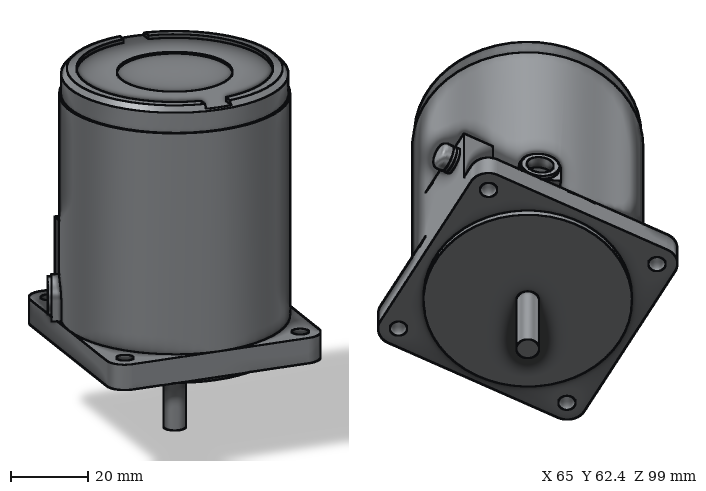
import cadquery as cq
import math

FLANGE_SIDE = 60.0
FLANGE_THICKNESS = 7.0
FLANGE_CORNER_RADIUS = 5.0
BOLT_PITCH = 49.5
BOLT_HOLE_DIAMETER = 4.5

PILOT_DIAMETER = 54.1
PILOT_HEIGHT = 2.0
SHAFT_DIAMETER = 5.9
SHAFT_LENGTH = 22.0

CASE_DIAMETER = FLANGE_SIDE
CASE_HEIGHT = 61.0
COVER_DIAMETER = 59.0
COVER_HEIGHT = 7.0
COVER_CHAMFER = 1.5
COVER_RECESS_DIAMETER = 51.0
COVER_RECESS_DEPTH = 1.0
KEY_SLOT_WIDTH = 7.0
LABEL_DIAMETER = 30.0
LABEL_DEPTH = 0.5

BLOCK_DEPTH = 21.0
BLOCK_HEIGHT = 20.0

PLUG_DIAMETER = 7.0
PLUG_LENGTH = 5.0
PLUG_SHOULDER = 4.4
PLUG_FILLET = 1.5
PLUG_Y = -15.4
PLUG_ABOVE_FLANGE = 14.5
PLUG_GROOVE_START = 0.9
PLUG_GROOVE_END = 1.9
PLUG_GROOVE_DEPTH = 0.1

OUTLET_ANGLE = 22.5
OUTLET_WIDTH = 11.0
OUTLET_ABOVE_FLANGE = 5.4
OUTLET_GAP = 0.3
OUTLET_REACH = 32.0
COLLAR_DIAMETER = 10.0
COLLAR_LENGTH = 1.0
OUTLET_BORE_DIAMETER = 7.0
OUTLET_BORE_DEPTH = 3.3

CASE_TOP = FLANGE_THICKNESS + CASE_HEIGHT
COVER_TOP = CASE_TOP + COVER_HEIGHT


def disc(diameter, bottom, height):
    """Upright cylinder on the case axis."""
    return cq.Workplane("XY").workplane(offset=bottom).circle(diameter / 2).extrude(height)


def make_flange():
    return (
        cq.Workplane("XY")
        .rect(FLANGE_SIDE, FLANGE_SIDE)
        .extrude(FLANGE_THICKNESS)
        .edges("|Z")
        .fillet(FLANGE_CORNER_RADIUS)
        .faces(">Z")
        .workplane()
        .rect(BOLT_PITCH, BOLT_PITCH, forConstruction=True)
        .vertices()
        .hole(BOLT_HOLE_DIAMETER)
    )


def make_cover():
    cover = disc(COVER_DIAMETER, CASE_TOP, COVER_HEIGHT).faces(">Z").edges().chamfer(COVER_CHAMFER)
    floor = COVER_TOP - COVER_RECESS_DEPTH
    recess = disc(COVER_RECESS_DIAMETER, floor, COVER_RECESS_DEPTH)
    key_slot = (
        cq.Workplane("XY")
        .workplane(offset=floor)
        .rect(COVER_DIAMETER, KEY_SLOT_WIDTH)
        .extrude(COVER_RECESS_DEPTH)
    )
    label = disc(LABEL_DIAMETER, floor - LABEL_DEPTH, LABEL_DEPTH)
    return cover.cut(recess).cut(key_slot).cut(label)


def make_connector_block():
    block = cq.Workplane("XY").box(FLANGE_SIDE / 2, BLOCK_DEPTH, BLOCK_HEIGHT, centered=False)
    return block.translate((-FLANGE_SIDE / 2, -BLOCK_DEPTH, FLANGE_THICKNESS))


def make_plug():
    """Domed plug pointing along -X, with a shallow groove around it."""
    radius = PLUG_DIAMETER / 2
    groove_radius = radius - PLUG_GROOVE_DEPTH
    dome_rise = PLUG_LENGTH - PLUG_SHOULDER
    dome_radius = (radius**2 + dome_rise**2) / (2 * dome_rise)
    half_radius = radius / 2
    dome_mid = PLUG_LENGTH - dome_radius + math.sqrt(dome_radius**2 - half_radius**2)
    plug = (
        cq.Workplane("XY")
        .lineTo(0, radius)
        .lineTo(-PLUG_SHOULDER, radius)
        .threePointArc((-dome_mid, half_radius), (-PLUG_LENGTH, 0))
        .close()
        .revolve(360, (0, 0), (1, 0))
        .edges(">>X[1]")
        .fillet(PLUG_FILLET)
    )
    groove = (
        cq.Workplane("YZ")
        .workplane(offset=-PLUG_GROOVE_END)
        .circle(radius)
        .circle(groove_radius)
        .extrude(PLUG_GROOVE_END - PLUG_GROOVE_START)
    )
    return plug.cut(groove).translate(
        (-FLANGE_SIDE / 2, PLUG_Y, FLANGE_THICKNESS + PLUG_ABOVE_FLANGE)
    )


def outlet_plane(reach):
    """Plane across the outlet axis, facing outward, at a distance from the case axis."""
    angle = math.radians(OUTLET_ANGLE)
    outward = (-math.sin(angle), -math.cos(angle), 0)
    along_face = (math.cos(angle), -math.sin(angle), 0)
    origin = (
        reach * outward[0],
        reach * outward[1],
        FLANGE_THICKNESS + OUTLET_ABOVE_FLANGE,
    )
    return cq.Workplane(cq.Plane(origin, xDir=along_face, normal=outward))


def add_outlet(body):
    half_width = OUTLET_WIDTH / 2
    bottom = OUTLET_GAP - OUTLET_ABOVE_FLANGE
    inside_case = CASE_DIAMETER / 4
    boss = (
        outlet_plane(inside_case)
        .moveTo(-half_width, bottom)
        .lineTo(half_width, bottom)
        .lineTo(half_width, 0)
        .threePointArc((0, half_width), (-half_width, 0))
        .close()
        .extrude(OUTLET_REACH - inside_case)
    )
    collar = outlet_plane(OUTLET_REACH).circle(COLLAR_DIAMETER / 2).extrude(COLLAR_LENGTH)
    bore = (
        outlet_plane(OUTLET_REACH + COLLAR_LENGTH)
        .circle(OUTLET_BORE_DIAMETER / 2)
        .extrude(-OUTLET_BORE_DEPTH)
    )
    return body.union(boss).union(collar).cut(bore)


body = (
    make_flange()
    .union(disc(PILOT_DIAMETER, -PILOT_HEIGHT, PILOT_HEIGHT))
    .union(disc(SHAFT_DIAMETER, -PILOT_HEIGHT - SHAFT_LENGTH, SHAFT_LENGTH))
    .union(disc(CASE_DIAMETER, FLANGE_THICKNESS, CASE_HEIGHT))
    .union(make_cover())
    .union(make_connector_block())
    .union(make_plug())
)
result = add_outlet(body)